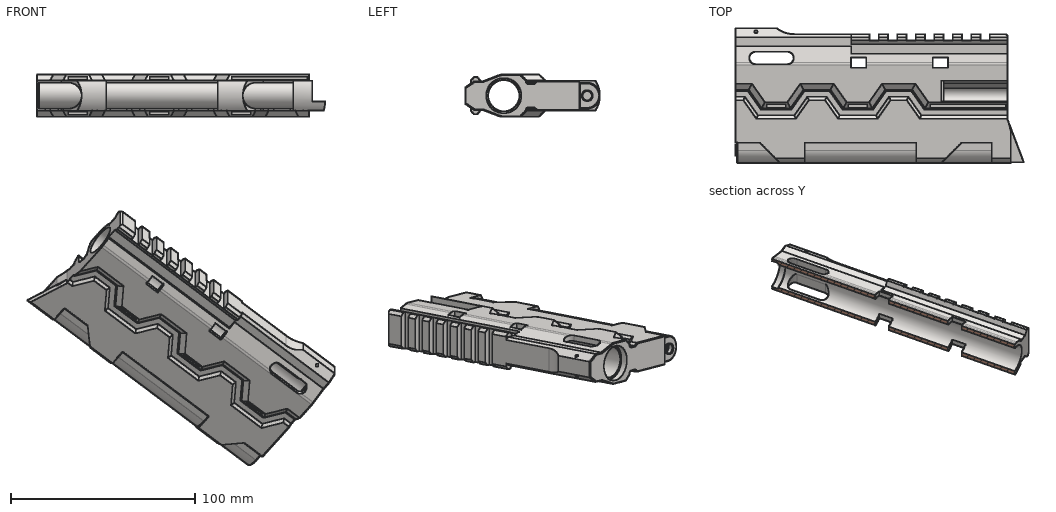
import cadquery as cq
import math

body_length = 148.0
base_length = 149.8
total_length = 156.8
rail_start = 63.0

thickness = 23.0
upper_half = thickness / 2
ramp_break_half = 11.1
lower_half = 8.2
channel_half = 6.7
nose_half = 7.8
tip_half = 4.4
beyond = 31.4
edge_chamfer = 0.5

nose_y = 73.2
nose_bevel_y = 68.2
ramp_start_y = 63.5
ramp_break_y = 54.9
ramp_end_y = 53.5
shelf_y = 59.3
rail_top_y = 70.1
slot_floor_y = 66.7
core_y = 15.7

peak_y = 43.1
valley_y = 33.1
wave_pitch = 44.4
first_descent_x = 9.1
descent_run = 7.0
valley_run = 12.2
flank_angle = math.atan2(peak_y - valley_y, descent_run)
top_waves = 3
bottom_waves = 4

upper_wall = [(4.0, channel_half), (3.3, 7.5), (3.3, 8.3), (0, upper_half)]
lip_wall = [(7.2, channel_half), (9.0, lower_half)]

tube_radius = 7.0
tube_start = 1.0
tube_end = 141.2
tube_window_y = 11.1
cover_round = 2.5


def extrude_along_x(sketch, start, end):
    return sketch.extrude(end - start).translate((start, 0, 0))


def profile():
    return cq.Workplane("YZ")


def box(x0, x1, y0, y1, z0, z1):
    return cq.Workplane("XY").box(x1 - x0, y1 - y0, z1 - z0, centered=False).translate((x0, y0, z0))


def zigzag(distance, waves):
    """Points of the zigzag rim moved toward -Y by a distance square to the rim."""
    shift = distance * math.tan(flank_angle / 2)
    high = peak_y - distance
    low = valley_y - distance
    points = [(-beyond, high)]
    for wave in range(waves):
        x = first_descent_x + wave * wave_pitch
        valley_start = x + descent_run
        valley_end = valley_start + valley_run
        points += [(x - shift, high), (valley_start - shift, low)]
        if wave < top_waves - 1 or waves > top_waves:
            points += [(valley_end + shift, low), (valley_end + descent_run + shift, high)]
    points.append((total_length + beyond, points[-1][1]))
    return points


def zigzag_cutter(wall, waves, side_y):
    """Cutter from the channel floor up, bounded by a zigzag wall and the line Y = side_y."""
    closing = [(total_length + beyond, side_y), (-beyond, side_y)]
    cutter = cq.Workplane("XY")
    for (low_distance, low_z), (high_distance, high_z) in zip(wall, wall[1:]):
        layer = (
            cq.Workplane("XY")
            .workplane(offset=low_z)
            .polyline(zigzag(low_distance, waves) + closing)
            .close()
            .workplane(offset=high_z - low_z)
            .polyline(zigzag(high_distance, waves) + closing)
            .close()
            .loft(ruled=True)
        )
        cutter = cutter.union(layer)
    return cutter


def both_faces(top_cut, bottom_cut):
    """Join a cutter for the top face with one for the bottom face, given as if on top."""
    return top_cut.union(bottom_cut.mirror("XY"))


def mirrored_profile(points):
    """Complete a half outline of (Y, Z) points with its mirror image below Z = 0."""
    return points + [(y, -z) for y, z in reversed(points)]


def rounded_section(sketch, back_y, half, round_y):
    """Closed section with flat sides from back_y to round_y and a round nose at Y = 0."""
    return (
        sketch.moveTo(back_y, half)
        .lineTo(round_y, half)
        .threePointArc((0, 0), (round_y, -half))
        .lineTo(back_y, -half)
        .close()
    )


def cover_section():
    return rounded_section(profile(), peak_y, lower_half, cover_round)


def upper_body():
    points = [
        (core_y, upper_half),
        (ramp_end_y, upper_half),
        (ramp_break_y, ramp_break_half),
        (ramp_start_y, nose_half),
        (nose_bevel_y, nose_half),
        (nose_y, tip_half),
    ]
    sketch = profile().polyline(mirrored_profile(points)).close()
    body = extrude_along_x(sketch, 0, body_length)

    nose_end = 22.7
    hollow_end = 32.3
    hollow_middle = (26.7, 71.0)
    above_nose = nose_y + 1.5
    drop = (
        cq.Workplane("XY")
        .moveTo(nose_end, above_nose)
        .lineTo(nose_end, nose_y)
        .threePointArc(hollow_middle, (hollow_end, rail_top_y))
        .lineTo(total_length, rail_top_y)
        .lineTo(total_length, above_nose)
        .close()
        .extrude(beyond, both=True)
    )
    step = both_faces(
        zigzag_cutter(upper_wall, top_waves, -beyond),
        zigzag_cutter(upper_wall, bottom_waves, -beyond),
    )
    return body.cut(drop).cut(step)


def lower_body():
    slant_start_y = 23.5
    slant_end_y = 17.3
    body = extrude_along_x(cover_section(), 0, base_length)
    slant = (
        cq.Workplane("XY")
        .polyline([
            (body_length, nose_y),
            (body_length, slant_start_y),
            (base_length, slant_end_y),
            (total_length, slant_end_y),
            (total_length, nose_y),
        ])
        .close()
        .extrude(beyond, both=True)
    )
    lip = both_faces(
        zigzag_cutter(lip_wall, top_waves, nose_y),
        zigzag_cutter(lip_wall, bottom_waves, nose_y),
    )
    fin_top = -3.1
    fin_root_x = 132.4
    fin_tip_y = 0.39
    fin = (
        cq.Workplane("XY")
        .workplane(offset=-lower_half)
        .polyline([
            (fin_root_x, 0),
            (total_length, fin_tip_y),
            (body_length, slant_start_y),
            (fin_root_x, slant_start_y),
        ])
        .close()
        .extrude(fin_top + lower_half)
        .intersect(extrude_along_x(cover_section(), 0, total_length))
    )
    return body.cut(slant).union(fin).cut(lip)


def rail():
    """Accessory rail bar and the cutter that clips its outer corner."""
    waist_y = 64.6
    corner = 1.0
    wing_half = 10.2
    top_half = 8.3
    points = [
        (shelf_y, nose_half),
        (waist_y, nose_half),
        (slot_floor_y, wing_half),
        (nose_bevel_y, wing_half),
        (rail_top_y, top_half),
    ]
    sketch = profile().polyline(mirrored_profile(points)).close()
    bar = extrude_along_x(sketch, rail_start, body_length)
    clipped_corner = (
        cq.Workplane("XY")
        .polyline([
            (body_length - corner, rail_top_y),
            (body_length, rail_top_y - corner),
            (body_length, rail_top_y),
        ])
        .close()
        .extrude(beyond, both=True)
    )
    return bar, clipped_corner


def rail_relief():
    """Flat shelves beside the rail, sunk into the ramps."""
    top = box(rail_start, total_length, shelf_y, nose_y, nose_half, beyond)
    return both_faces(top, top)


def rail_slots():
    slot_count = 7
    slot_pitch = 10.0
    slot_width = 4.9
    first_slot_x = 73.1
    slots = cq.Workplane("XY")
    for index in range(slot_count):
        x = first_slot_x + index * slot_pitch
        slots = slots.union(box(x, x + slot_width, slot_floor_y, nose_y, -beyond, beyond))
    return slots


def side_openings():
    sling_length = 24.0
    sling_width = 6.6
    sling_center = (19.8, 57.1)
    pin_center = (11.3, 71.4)
    pin_diameter = 1.5
    window_bottom_y = 51.9
    window_top_y = 57.2
    sling_outline = cq.Workplane("XY").center(*sling_center).slot2D(sling_length, sling_width)
    sling = sling_outline.extrude(beyond, both=True)
    pin = cq.Workplane("XY").center(*pin_center).circle(pin_diameter / 2).extrude(beyond, both=True)
    cuts = sling.union(pin)
    window_width = 8.2
    for x in (rail_start, rail_start + wave_pitch):
        cuts = cuts.union(box(x, x + window_width, window_bottom_y, window_top_y, -beyond, beyond))
    return cuts


def bore():
    axis_y = 52.2
    bore_diameter = 17.0
    mouth_diameter = 19.1
    mouth_depth = 3.9
    through = profile().center(axis_y, 0).circle(bore_diameter / 2).extrude(total_length)
    mouth = profile().center(axis_y, 0).circle(mouth_diameter / 2).extrude(mouth_depth)
    return through.union(mouth)


def round_groove():
    """Deep round-bottomed groove with a leaning wall on its +Y side and beveled rims."""
    start = 112.0
    bevel = 1.4
    rim_y = 44.7
    radius = 4.0
    axis_y = 37.6
    axis_z = 4.0
    diagonal = radius * math.sqrt(0.5)
    bevel_foot_z = upper_half - bevel
    sketch = (
        profile()
        .moveTo(axis_y - radius, upper_half)
        .lineTo(axis_y - radius, axis_z)
        .threePointArc((axis_y, axis_z - radius), (axis_y + diagonal, axis_z - diagonal))
        .lineTo(rim_y - bevel, bevel_foot_z)
        .lineTo(rim_y, upper_half)
        .close()
    )
    groove = extrude_along_x(sketch, start + bevel, total_length)
    end_bevel = (
        cq.Workplane("XZ", origin=(0, rim_y, 0))
        .polyline([(start, upper_half), (start + bevel, upper_half), (start + bevel, bevel_foot_z)])
        .close()
        .extrude(rim_y - axis_y + radius)
    )
    return groove.union(end_bevel)


def valley_pockets():
    """Pockets cut into the sloping walls of the valleys; the last one on top is long."""
    floor_z = 8.6
    roof_z = 10.7
    back_y = 31.8
    margin = 1.0
    front_y = valley_y - upper_wall[0][0]

    def pocket(x0, x1):
        return box(x0, x1, front_y, back_y, floor_z, roof_z)

    top = cq.Workplane("XY")
    bottom = cq.Workplane("XY")
    for wave in range(top_waves):
        x0 = first_descent_x + descent_run + wave * wave_pitch + margin
        x1 = x0 + valley_run - 2 * margin
        bottom = bottom.union(pocket(x0, x1))
        last = wave == top_waves - 1
        top = top.union(pocket(x0, body_length - margin if last else x1))
    return both_faces(top, bottom)


def tube_windows():
    """Cutouts along the lower edge that bare the tube; the outer two end in 45 degree diagonals."""
    outside = -1.5
    first_end = 13.3
    middle_start = 38.0
    middle_end = 98.5
    last_start = 123.1
    last_end = 139.5
    diagonal_run = tube_window_y - outside
    outlines = [
        [
            (outside, outside),
            (outside, tube_window_y),
            (first_end, tube_window_y),
            (first_end + diagonal_run, outside),
        ],
        [
            (middle_start, outside),
            (middle_start, tube_window_y),
            (middle_end, tube_window_y),
            (middle_end, outside),
        ],
        [
            (last_start - diagonal_run, outside),
            (last_start, tube_window_y),
            (last_end, tube_window_y),
            (last_end, outside),
        ],
    ]
    windows = cq.Workplane("XY")
    for outline in outlines:
        windows = windows.union(cq.Workplane("XY").polyline(outline).close().extrude(beyond, both=True))
    return windows


def tube():
    sketch = rounded_section(profile(), tube_window_y, tube_radius, tube_radius)
    body = extrude_along_x(sketch, tube_start, tube_end)
    body = body.faces("<X").edges().chamfer(edge_chamfer)
    screw_y = 6.9
    boss_diameter = 6.0
    socket_diameter = 5.0
    socket_depth = 3.1
    boss = profile().center(screw_y, 0).circle(boss_diameter / 2).extrude(socket_depth)
    socket = profile().center(screw_y, 0).circle(socket_diameter / 2).extrude(socket_depth)
    return body.union(boss).cut(socket)


rail_bar, rail_corner = rail()

body = upper_body().union(lower_body()).clean()
body = body.faces("<X").edges().chamfer(edge_chamfer)

result = (
    body
    .cut(rail_relief())
    .union(rail_bar)
    .cut(rail_corner)
    .cut(rail_slots())
    .cut(side_openings())
    .cut(bore())
    .cut(round_groove())
    .cut(valley_pockets())
    .cut(tube_windows())
    .union(tube())
)